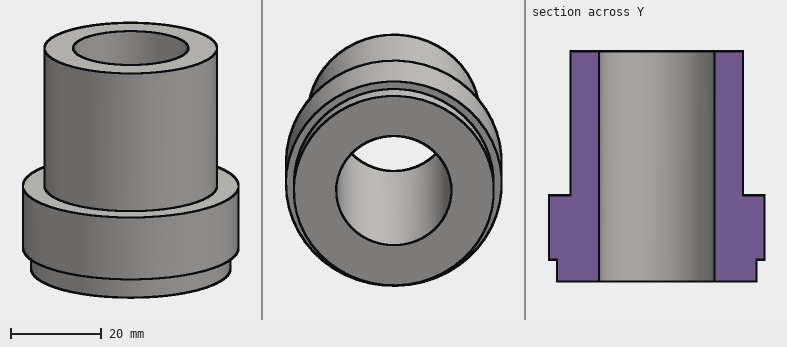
import cadquery as cq

total_height = 50.8
spigot_height = 4.8
flange_height = 14.3
spigot_diameter = 44.1
flange_diameter = 47.6
tube_diameter = 38.1
bore_diameter = 25.4

tube_height = total_height - spigot_height - flange_height

body = (
    cq.Workplane("XY")
    .circle(spigot_diameter / 2)
    .extrude(spigot_height)
    .faces(">Z").workplane()
    .circle(flange_diameter / 2)
    .extrude(flange_height)
    .faces(">Z").workplane()
    .circle(tube_diameter / 2)
    .extrude(tube_height)
)

bore = cq.Workplane("XY").circle(bore_diameter / 2).extrude(total_height)

result = body.cut(bore)